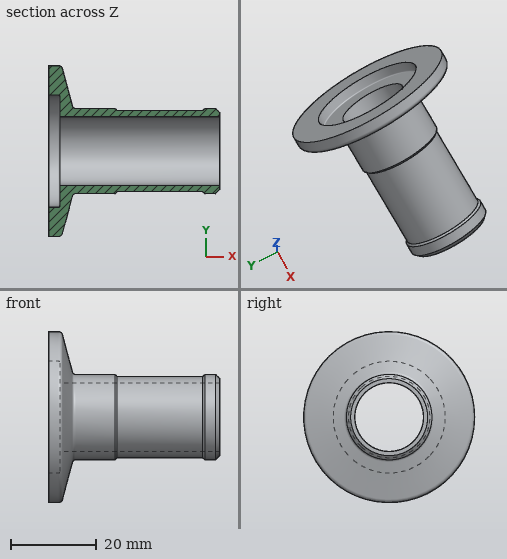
import cadquery as cq
import math

length = 40.0
flange_radius = 20.0
cone_angle = 15.0
rim_width = 2.3
rim_fillet = 0.95

collar_radius = 10.0
collar_end = 16.0
neck_radius = 9.5
bead_start = 36.0
step_chamfer = collar_radius - neck_radius
end_chamfer = 1.0
root_fillet = 0.7

bore_radius = 8.0
recess_radius = 13.1
recess_fillet = 0.3
recess_depth = 2.6

slope = math.tan(math.radians(cone_angle))
sin_cone = math.sin(math.radians(cone_angle))
cos_cone = math.cos(math.radians(cone_angle))
fillet_center_radius = flange_radius - rim_fillet
cone_start_x = rim_width + rim_fillet * cos_cone
cone_start_radius = fillet_center_radius + rim_fillet * sin_cone
mid_angle = math.radians((90.0 + cone_angle) / 2)
fillet_mid = (
    rim_width + rim_fillet * math.cos(mid_angle),
    fillet_center_radius + rim_fillet * math.sin(mid_angle),
)

cone_foot_x = cone_start_x + (cone_start_radius - collar_radius) * slope
root_tangent = root_fillet * math.tan(math.radians((90.0 - cone_angle) / 2))
root_start = (
    cone_foot_x - root_tangent * sin_cone,
    collar_radius + root_tangent * cos_cone,
)
root_end_x = cone_foot_x + root_tangent
root_mid = (
    root_end_x - root_fillet * math.cos(mid_angle),
    collar_radius + root_fillet * (1 - math.sin(mid_angle)),
)

result = (
    cq.Workplane("XY")
    .moveTo(0, recess_radius)
    .lineTo(0, flange_radius)
    .lineTo(rim_width, flange_radius)
    .threePointArc(fillet_mid, (cone_start_x, cone_start_radius))
    .lineTo(*root_start)
    .threePointArc(root_mid, (root_end_x, collar_radius))
    .lineTo(collar_end - step_chamfer, collar_radius)
    .lineTo(collar_end, neck_radius)
    .lineTo(bead_start, neck_radius)
    .lineTo(bead_start + step_chamfer, collar_radius)
    .lineTo(length - end_chamfer, collar_radius)
    .lineTo(length, collar_radius - end_chamfer)
    .lineTo(length, bore_radius)
    .lineTo(recess_depth, bore_radius)
    .lineTo(recess_depth, recess_radius - recess_fillet)
    .radiusArc((recess_depth - recess_fillet, recess_radius), -recess_fillet)
    .close()
    .revolve(360, (0, 0, 0), (1, 0, 0))
)